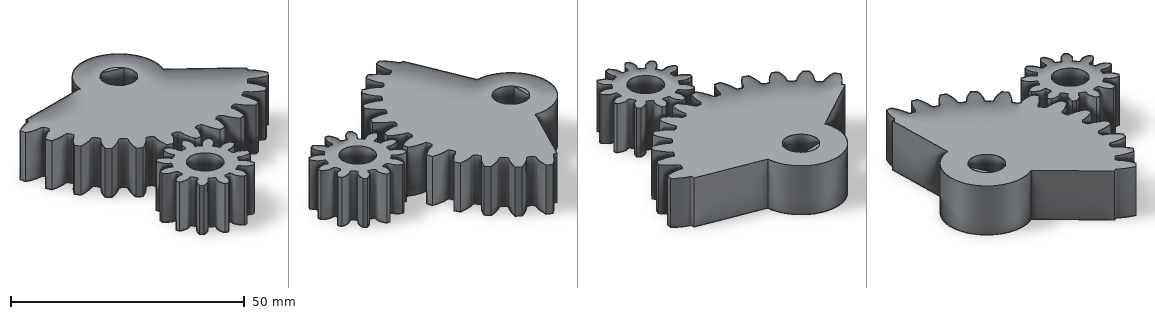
import cadquery as cq
import math

total_length = 62.7
thickness = 12.0
bore_diameter = 8.0
pressure_angle = math.radians(20)
dedendum_factor = 1.2
flank_steps = 6
match_distance = 0.005

sector_full_circle_teeth = 30
sector_teeth = 12
sector_tip_diameter = 64.0
sector_root_fillet = 0.75
hub_diameter = 20.0
side_start_x = 1.25

key_flat_offset = 3.0

pinion_teeth = 12
pinion_tip_diameter = 21.0
pinion_root_fillet = 0.3

hub_radius = hub_diameter / 2
bore_radius = bore_diameter / 2
pinion_centre_x = total_length - hub_radius - pinion_tip_diameter / 2


def polar(radius, angle):
    """Point at a radius and an angle in radians."""
    return (radius * math.cos(angle), radius * math.sin(angle))


def involute(angle):
    """Involute function of a pressure angle in radians."""
    return math.tan(angle) - angle


def gear_module(tip_diameter, teeth):
    """Module of a gear whose teeth stand one module above the pitch circle."""
    return tip_diameter / (teeth + 2)


def root_radius_of(tip_diameter, teeth):
    """Radius of the circle at the bottom of the tooth spaces."""
    module = gear_module(tip_diameter, teeth)
    return module * teeth / 2 - dedendum_factor * module


def base_half_angle(teeth):
    """Half of the angle that a tooth spans at its base circle and, with radial flanks, below it."""
    return math.pi / (2 * teeth) + involute(pressure_angle)


def tooth_half_angle(radius, base_radius, teeth):
    """Half of the angle that a tooth spans at a radius on its involute flank."""
    flank_angle = math.acos(min(1.0, base_radius / radius))
    return base_half_angle(teeth) - involute(flank_angle)


def add_tooth(outline, centre_angle, tip_diameter, teeth):
    """Continue an outline from the root, over one involute tooth, and back to the root."""
    tip_radius = tip_diameter / 2
    root_radius = root_radius_of(tip_diameter, teeth)
    base_radius = gear_module(tip_diameter, teeth) * teeth / 2 * math.cos(pressure_angle)
    tip_roll = math.sqrt((tip_radius / base_radius) ** 2 - 1)
    rolls = [tip_roll * step / flank_steps for step in range(flank_steps + 1)]
    radii = [base_radius * math.sqrt(1 + roll**2) for roll in rolls]
    half_angles = [tooth_half_angle(radius, base_radius, teeth) for radius in radii]
    rising = [polar(r, centre_angle - half) for r, half in zip(radii, half_angles)]
    falling = [polar(r, centre_angle + half) for r, half in zip(radii, half_angles)][::-1]
    root_end = polar(root_radius, centre_angle + base_half_angle(teeth))
    return (
        outline.lineTo(*rising[0])
        .spline(rising[1:], includeCurrent=True)
        .threePointArc(polar(tip_radius, centre_angle), falling[0])
        .spline(falling[1:], includeCurrent=True)
        .lineTo(*root_end)
    )


def tooth_row(first_angle, count, tip_diameter, teeth):
    """Open outline of a row of teeth joined by root arcs, from mid space to mid space."""
    root_radius = root_radius_of(tip_diameter, teeth)
    pitch = 2 * math.pi / teeth
    root_half_angle = base_half_angle(teeth)
    previous = first_angle - pitch / 2
    outline = cq.Workplane("XY").moveTo(*polar(root_radius, previous))
    for index in range(count):
        centre_angle = first_angle + index * pitch
        tooth_start = centre_angle - root_half_angle
        arc_middle = polar(root_radius, (previous + tooth_start) / 2)
        outline = outline.threePointArc(arc_middle, polar(root_radius, tooth_start))
        outline = add_tooth(outline, centre_angle, tip_diameter, teeth)
        previous = centre_angle + root_half_angle
    end = first_angle + (count - 0.5) * pitch
    arc_middle = polar(root_radius, (previous + end) / 2)
    return outline.threePointArc(arc_middle, polar(root_radius, end))


def upright_edges_at(body, points):
    """Upright edges of a body that stand on the given points."""
    return body.edges("|Z").filter(
        lambda edge: any(math.dist(edge.Center().toTuple()[:2], p) < match_distance for p in points)
    )


def tooth_root_points(first_angle, count, tip_diameter, teeth):
    """Points where the tooth flanks meet the root circle."""
    root_radius = root_radius_of(tip_diameter, teeth)
    root_half_angle = base_half_angle(teeth)
    pitch = 2 * math.pi / teeth
    return [
        polar(root_radius, first_angle + index * pitch + side * root_half_angle)
        for index in range(count)
        for side in (-1, 1)
    ]


def make_sector():
    """Toothed sector with a round hub, straight sides and a bore through the hub."""
    pitch = 2 * math.pi / sector_full_circle_teeth
    first_angle = -(sector_teeth - 1) / 2 * pitch
    gear = (sector_tip_diameter, sector_full_circle_teeth)
    side_start_y = math.sqrt(hub_radius**2 - side_start_x**2)
    body = (
        tooth_row(first_angle, sector_teeth, *gear)
        .lineTo(side_start_x, side_start_y)
        .lineTo(side_start_x, -side_start_y)
        .close()
        .extrude(thickness)
    )
    root_points = tooth_root_points(first_angle, sector_teeth, *gear)
    body = upright_edges_at(body, root_points).fillet(sector_root_fillet)
    hub = cq.Workplane("XY").circle(hub_radius).extrude(thickness)
    bore = cq.Workplane("XY").circle(bore_radius).extrude(thickness)
    return body.union(hub).cut(bore)


def make_key():
    """Circle segment between the bore wall and a flat facing +X, flush with both faces."""
    half_chord = math.sqrt(bore_radius**2 - key_flat_offset**2)
    return (
        cq.Workplane("XY")
        .moveTo(-key_flat_offset, half_chord)
        .threePointArc((-bore_radius, 0), (-key_flat_offset, -half_chord))
        .close()
        .extrude(thickness)
    )


def make_pinion():
    """Spur pinion with a round bore, one tooth pointing at the sector axis."""
    gear = (pinion_tip_diameter, pinion_teeth)
    body = tooth_row(0, pinion_teeth, *gear).close().extrude(thickness)
    root_points = tooth_root_points(0, pinion_teeth, *gear)
    body = upright_edges_at(body, root_points).fillet(pinion_root_fillet)
    bore = cq.Workplane("XY").circle(bore_radius).extrude(thickness)
    return body.cut(bore).translate((pinion_centre_x, 0, 0))


sector = make_sector()
key = make_key()
pinion = make_pinion()

result = cq.Compound.makeCompound([sector.val(), key.val(), pinion.val()])